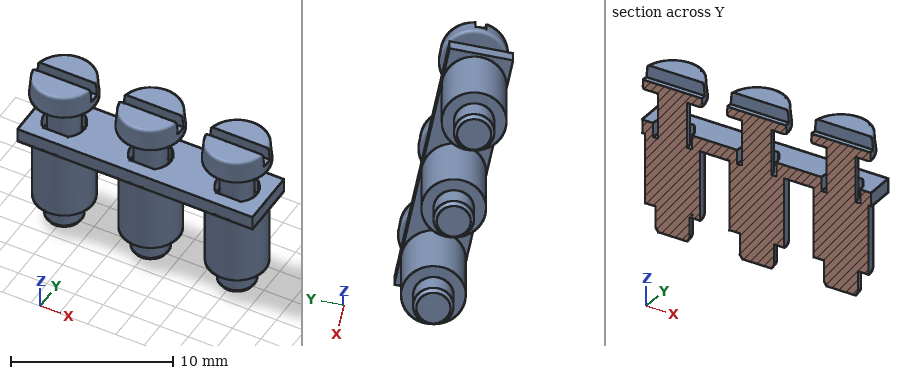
import cadquery as cq
import math

SCREW_COUNT = 3
SCREW_PITCH = 6.1

PIN_LENGTH = 1.8
SLEEVE_LENGTH = 5.0
PLATE_THICKNESS = 1.0
SHANK_EXPOSED_LENGTH = 2.2
HEAD_HEIGHT = 1.6

SLEEVE_BASE_Z = PIN_LENGTH
PLATE_BASE_Z = SLEEVE_BASE_Z + SLEEVE_LENGTH
PLATE_TOP_Z = PLATE_BASE_Z + PLATE_THICKNESS
HEAD_BASE_Z = PLATE_TOP_Z + SHANK_EXPOSED_LENGTH
HEAD_TOP_Z = HEAD_BASE_Z + HEAD_HEIGHT

PIN_DIAMETER = 2.5
PIN_CHAMFER_HEIGHT = 0.3
PIN_CHAMFER_INSET = 0.2
SLEEVE_DIAMETER = 4.0
SHANK_DIAMETER = 2.16

HEAD_BASE_DIAMETER = 4.4
HEAD_TAPER_DEGREES = 5.0
HEAD_FILLET_RADIUS = 0.2
DRIVER_SLOT_WIDTH = 0.7
DRIVER_SLOT_DEPTH = 0.9

PLATE_LENGTH = (SCREW_COUNT - 1) * SCREW_PITCH + HEAD_BASE_DIAMETER
PLATE_WIDTH = SLEEVE_DIAMETER

HOLE_DIAMETER = 2.8
HOLE_WIDTH = 2.2


def cylinder(diameter, base_z, height):
    """Upright cylinder on the Z axis."""
    return cq.Workplane("XY", origin=(0, 0, base_z)).circle(diameter / 2).extrude(height)


def centered_box(length, width, base_z, height):
    """Box centred on the Z axis in X and Y."""
    return cq.Workplane("XY", origin=(0, 0, base_z)).rect(length, width).extrude(height)


def make_plate_hole():
    """Cutter for one plate hole: a cylinder trimmed by two flats."""
    bore = cylinder(HOLE_DIAMETER, PLATE_BASE_Z, PLATE_THICKNESS)
    flats = centered_box(HOLE_DIAMETER, HOLE_WIDTH, PLATE_BASE_Z, PLATE_THICKNESS)
    return bore.intersect(flats)


def make_plate(screw_positions):
    """Bridge plate with one flatted hole per screw."""
    plate = centered_box(PLATE_LENGTH, PLATE_WIDTH, PLATE_BASE_Z, PLATE_THICKNESS)
    hole = make_plate_hole()
    for x in screw_positions:
        plate = plate.cut(hole.translate((x, 0, 0)))
    return plate


def make_head():
    """Tapered screw head with rounded rims and a driver slot along X."""
    base_radius = HEAD_BASE_DIAMETER / 2
    top_radius = base_radius - HEAD_HEIGHT * math.tan(math.radians(HEAD_TAPER_DEGREES))
    head = (
        cq.Workplane("XZ")
        .moveTo(0, HEAD_BASE_Z)
        .lineTo(base_radius, HEAD_BASE_Z)
        .lineTo(top_radius, HEAD_TOP_Z)
        .lineTo(0, HEAD_TOP_Z)
        .close()
        .revolve(360, (0, 0, 0), (0, 1, 0))
        .faces("<Z or >Z")
        .edges()
        .fillet(HEAD_FILLET_RADIUS)
    )
    driver_slot = centered_box(
        HEAD_BASE_DIAMETER,
        DRIVER_SLOT_WIDTH,
        HEAD_TOP_Z - DRIVER_SLOT_DEPTH,
        DRIVER_SLOT_DEPTH,
    )
    return head.cut(driver_slot)


def make_pin():
    """Lower pin with a chamfered tip."""
    pin = cylinder(PIN_DIAMETER, 0, PIN_LENGTH)
    return pin.faces("<Z").chamfer(PIN_CHAMFER_HEIGHT, PIN_CHAMFER_INSET)


def make_screw():
    """One screw on the Z axis, with its sleeve and pin."""
    sleeve = cylinder(SLEEVE_DIAMETER, SLEEVE_BASE_Z, SLEEVE_LENGTH)
    shank = cylinder(SHANK_DIAMETER, PLATE_BASE_Z, HEAD_BASE_Z - PLATE_BASE_Z)
    return make_pin().union(sleeve).union(shank).union(make_head())


first_screw_x = -(SCREW_COUNT - 1) * SCREW_PITCH / 2
screw_positions = [first_screw_x + i * SCREW_PITCH for i in range(SCREW_COUNT)]

result = make_plate(screw_positions)
screw = make_screw()
for x in screw_positions:
    result = result.union(screw.translate((x, 0, 0)))